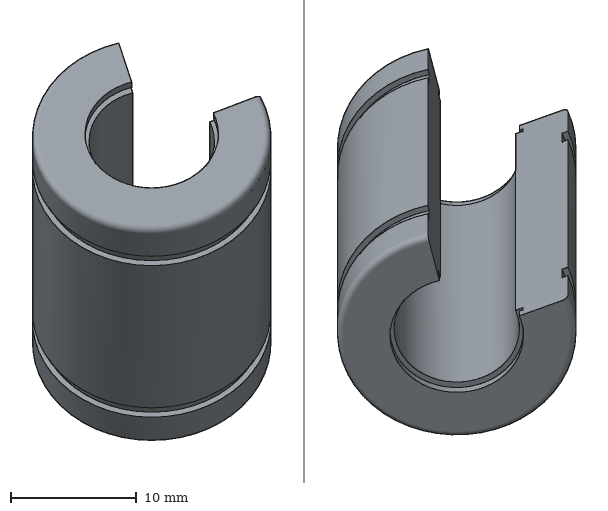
import cadquery as cq
import math

length = 29.0
outer_radius = 19.0 / 2
bore_radius = 5.0
edge_fillet = 0.5

outer_groove_offset = 3.5
outer_groove_width = 1.28
outer_groove_depth = 0.5

mouth_radius = 5.3
mouth_depth = 0.72
inner_groove_radius = 5.63
inner_groove_width = 0.32

opening_angle = 80.0
opening_direction = 135.0
apex_setback = 0.35


def cylinder(radius, bottom, height):
    """Solid cylinder on the Z axis, starting at the given height."""
    return cq.Workplane("XY").workplane(offset=bottom).circle(radius).extrude(height)


def both_ends(offset, width):
    """Bottom heights of two bands lying the same distance from each end."""
    return (offset, length - offset - width)


def make_sleeve():
    body = cylinder(outer_radius, 0, length).edges().fillet(edge_fillet)
    return body.cut(cylinder(bore_radius, 0, length))


def cut_outer_grooves(body):
    for bottom in both_ends(outer_groove_offset, outer_groove_width):
        ring = cylinder(outer_radius, bottom, outer_groove_width)
        core = cylinder(outer_radius - outer_groove_depth, bottom, outer_groove_width)
        body = body.cut(ring.cut(core))
    return body


def cut_bore_ends(body):
    for bottom in both_ends(0, mouth_depth):
        body = body.cut(cylinder(mouth_radius, bottom, mouth_depth))
    for bottom in both_ends(mouth_depth, inner_groove_width):
        body = body.cut(cylinder(inner_groove_radius, bottom, inner_groove_width))
    return body


def make_opening():
    """Wedge with its apex set back behind the axis, away from the opening."""
    reach = 2 * outer_radius
    half_width = reach * math.tan(math.radians(opening_angle / 2))
    return (
        cq.Workplane("XY")
        .moveTo(-apex_setback, 0)
        .lineTo(reach - apex_setback, half_width)
        .lineTo(reach - apex_setback, -half_width)
        .close()
        .extrude(length)
        .rotate((0, 0, 0), (0, 0, 1), opening_direction)
    )


sleeve = cut_bore_ends(cut_outer_grooves(make_sleeve()))
result = sleeve.cut(make_opening())